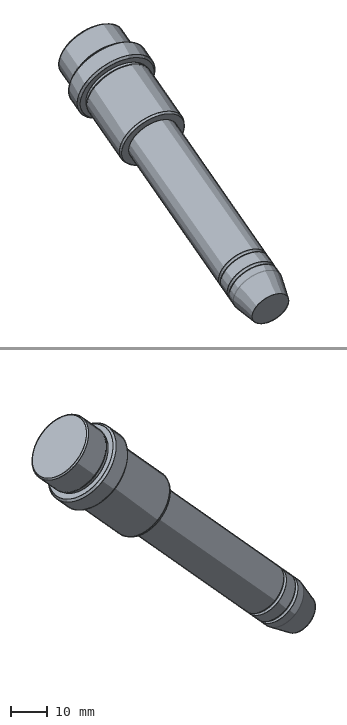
import cadquery as cq
import math

total_length = 101.0
body_diameter = 20.0
collar_diameter = 24.0
shaft_diameter = 15.0

collar_start = 9.0
collar_end = 15.0
body_end = 35.1
head_chamfer = 0.4
collar_chamfer = 0.6
seat_chamfer_length = 0.7
seat_chamfer_height = 0.3

neck_width = 1.0
neck_depth = 0.3

groove_centers = (86.1, 90.9)
groove_radius = 0.5
taper_length = 7.2
taper_angle = 14.5

body_radius = body_diameter / 2
shaft_radius = shaft_diameter / 2


def cylinder(start, end, diameter):
    """Solid cylinder along X between two stations."""
    return cq.Workplane("YZ", origin=(start, 0, 0)).circle(diameter / 2).extrude(end - start)


def ring(start, width, outer_diameter, depth):
    """Ring-shaped cutter that makes a square groove of the given depth."""
    outer = cylinder(start, start + width, outer_diameter)
    return outer.cut(cylinder(start, start + width, outer_diameter - 2 * depth))


def make_body():
    """Head and seat as one cylinder with chamfered ends and relief necks."""
    body = cylinder(0, body_end, body_diameter)
    body = body.faces("<X").chamfer(head_chamfer)
    tip_radius = body_radius - seat_chamfer_height
    seat_cutter = (
        cq.Workplane("XY")
        .moveTo(body_end, tip_radius)
        .lineTo(body_end, body_radius)
        .lineTo(body_end - seat_chamfer_length, body_radius)
        .close()
        .revolve(360, (0, 0, 0), (1, 0, 0))
    )
    body = body.cut(seat_cutter)
    for neck_start in (collar_start - neck_width, collar_end):
        body = body.cut(ring(neck_start, neck_width, body_diameter, neck_depth))
    return body


def make_collar():
    """Chamfered locating collar."""
    collar = cylinder(collar_start, collar_end, collar_diameter)
    return collar.faces("<X or >X").chamfer(collar_chamfer)


def make_shaft():
    """Grooved shaft with a conical lead-in tip."""
    taper_start = total_length - taper_length
    tip_radius = shaft_radius - taper_length * math.tan(math.radians(taper_angle))
    shaft = (
        cq.Workplane("XY")
        .moveTo(collar_end, 0)
        .lineTo(collar_end, shaft_radius)
        .lineTo(taper_start, shaft_radius)
        .lineTo(total_length, tip_radius)
        .lineTo(total_length, 0)
        .close()
        .revolve(360, (0, 0, 0), (1, 0, 0))
    )
    for groove_center in groove_centers:
        groove = (
            cq.Workplane("XY")
            .center(groove_center, shaft_radius)
            .circle(groove_radius)
            .revolve(360, (-groove_center, -shaft_radius, 0), (1 - groove_center, -shaft_radius, 0))
        )
        shaft = shaft.cut(groove)
    return shaft


result = make_body().union(make_collar()).union(make_shaft())